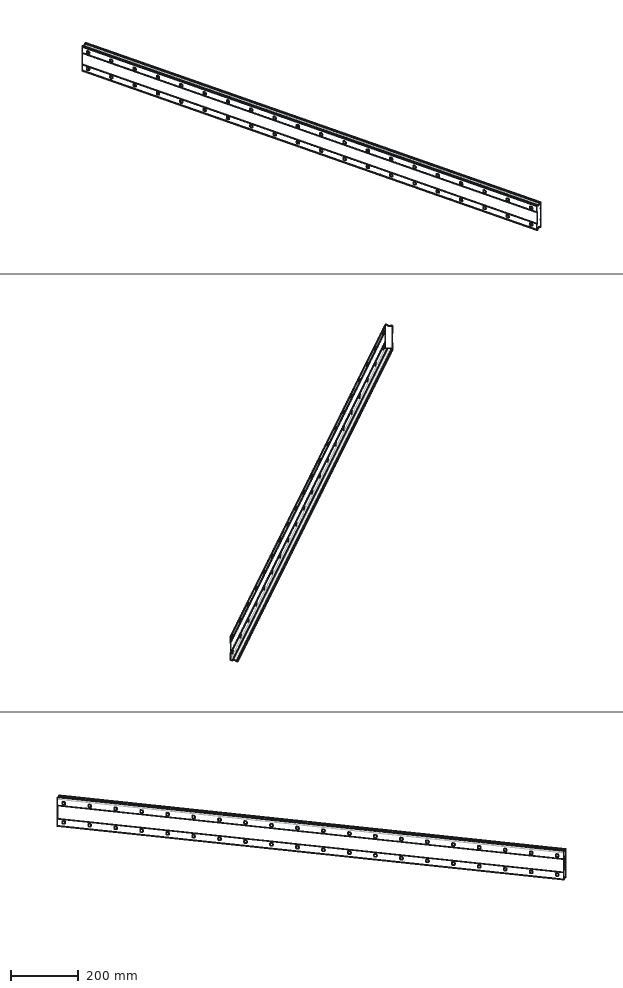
import cadquery as cq
import math

length = 1560.0
thickness = 23.0
height = 90.0

front_chamfer = 1.2
back_fillet = 3.5

groove_width = 12.0
groove_depth = 3.0
groove_offset = -1.2

relief_height = 42.0
relief_depth = 1.0

hole_diameter = 10.0
hole_count = 20
hole_row_spacing = 61.0
end_margin_in_pitches = 0.25
hole_pitch = length / (hole_count - 1 + 2 * end_margin_in_pitches)


def rail_bar():
    """Plain bar with chamfered front edges and rounded back edges."""
    bar = cq.Workplane("XY").box(length, thickness, height)
    bar = bar.faces("<Y").edges("|X").chamfer(front_chamfer)
    return bar.faces(">Y").edges("|X").fillet(back_fillet)


def side_groove(side):
    """Groove in the top (side = 1) or bottom (side = -1), rounded down to a flat floor."""
    edge_z = side * height / 2
    floor_z = edge_z - side * groove_depth
    front_y = groove_offset - groove_width / 2
    back_y = groove_offset + groove_width / 2
    arc_inset = groove_depth * (1 - math.sqrt(0.5))
    arc_middle_z = floor_z + side * arc_inset
    return (
        cq.Workplane("YZ", origin=(-length / 2, 0, 0))
        .moveTo(front_y, edge_z)
        .threePointArc((front_y + arc_inset, arc_middle_z), (front_y + groove_depth, floor_z))
        .lineTo(back_y - groove_depth, floor_z)
        .threePointArc((back_y - arc_inset, arc_middle_z), (back_y, edge_z))
        .close()
        .extrude(length)
    )


def face_relief(side):
    """Shallow full-length recess in the back (side = 1) or front (side = -1) face."""
    y_middle = side * (thickness - relief_depth) / 2
    return cq.Workplane("XY").box(length, relief_depth, relief_height).translate((0, y_middle, 0))


def mounting_holes():
    """Two rows of plain cylinders passing through the full thickness."""
    return (
        cq.Workplane("XZ", origin=(0, thickness / 2, 0))
        .rarray(hole_pitch, hole_row_spacing, hole_count, 2)
        .circle(hole_diameter / 2)
        .extrude(thickness)
    )


result = rail_bar().cut(mounting_holes())
for side in (-1, 1):
    result = result.cut(side_groove(side))
    result = result.cut(face_relief(side))